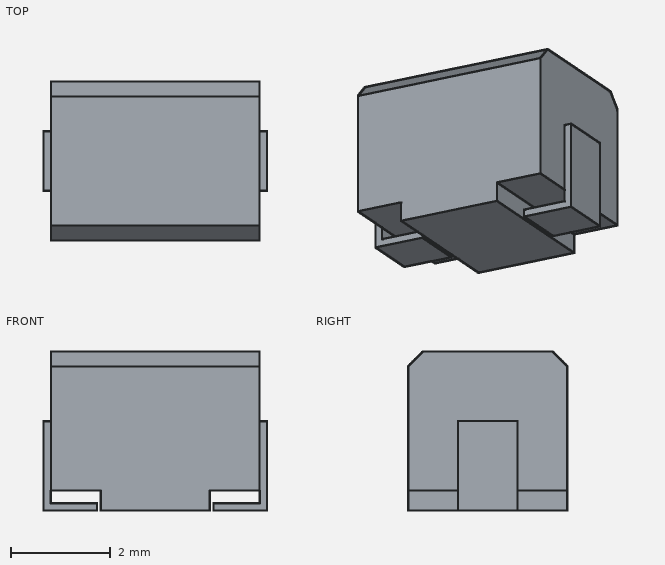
import cadquery as cq

overall_length = 4.5
body_width = 3.2
body_height = 3.2

strip_thickness = 0.15
strip_width = 1.2
strip_height = 1.8
foot_length = 1.08

body_length = overall_length - 2 * strip_thickness
top_chamfer = 0.3
pedestal_length = 2.2
pedestal_height = 0.4


def make_body():
    """Block with two chamfered top edges and a narrower pedestal beneath."""
    block = (
        cq.Workplane("XY")
        .workplane(offset=pedestal_height)
        .box(body_length, body_width, body_height - pedestal_height, centered=(True, True, False))
        .faces(">Z")
        .edges("|X")
        .chamfer(top_chamfer)
    )
    pedestal = cq.Workplane("XY").box(
        pedestal_length, body_width, pedestal_height, centered=(True, True, False)
    )
    return block.union(pedestal)


def make_terminal():
    """L-shaped strip on the -X end: upright against the body, foot pointing inward."""
    outer_x = -overall_length / 2
    inner_x = outer_x + strip_thickness
    foot_end_x = outer_x + foot_length
    return (
        cq.Workplane("XZ")
        .polyline(
            [
                (outer_x, 0),
                (foot_end_x, 0),
                (foot_end_x, strip_thickness),
                (inner_x, strip_thickness),
                (inner_x, strip_height),
                (outer_x, strip_height),
            ]
        )
        .close()
        .extrude(strip_width / 2, both=True)
    )


left_terminal = make_terminal()
right_terminal = left_terminal.mirror("YZ")

result = make_body().union(left_terminal).union(right_terminal)